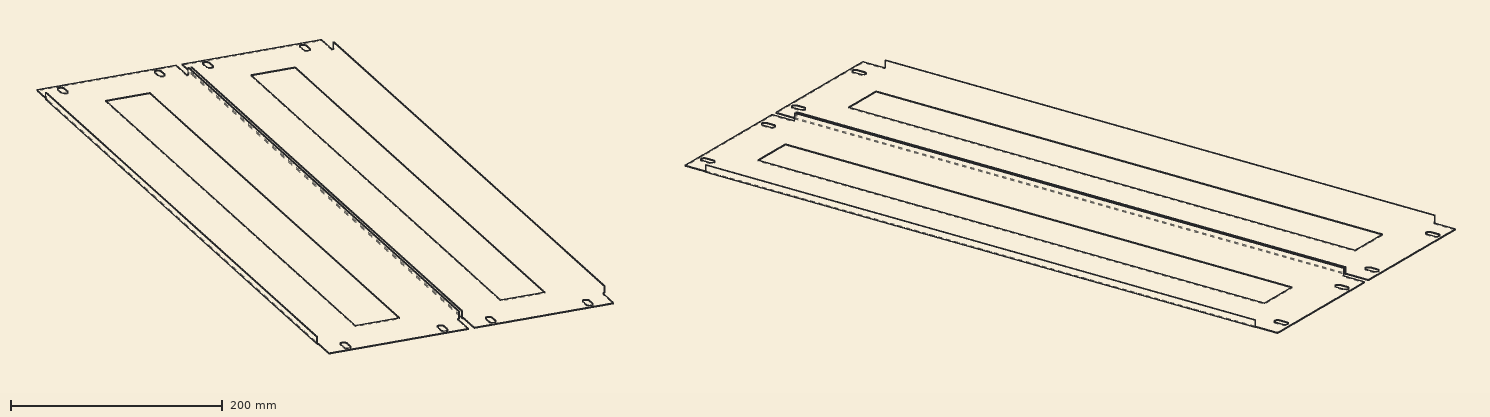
import cadquery as cq

panel_length = 682.0
overall_width = 298.0
panel_pitch = 150.0
panel_width = overall_width - panel_pitch
panel_count = 2

sheet_thickness = 1.0
bend_radius = 2.0
flange_height = 8.0
flange_length = 632.0
tab_width = panel_width - 2 * bend_radius

window_length = 583.0
window_width = 46.0

slot_length = 15.0
slot_width = 7.0
slot_edge_distance = 11.0
slot_pitch_x = panel_length - 2 * slot_edge_distance
slot_pitch_y = 100.0


def make_folded_channel():
    """Shallow channel along X: flat web with an upturned flange on each long side."""
    cavity_width = panel_width - 2 * sheet_thickness
    inner_radius = bend_radius - sheet_thickness
    outer = (
        cq.Workplane("XY")
        .box(flange_length, panel_width, flange_height, centered=(True, True, False))
        .edges("|X and <Z")
        .fillet(bend_radius)
    )
    cavity = (
        cq.Workplane("XY", origin=(0, 0, sheet_thickness))
        .box(flange_length, cavity_width, flange_height, centered=(True, True, False))
        .edges("|X and <Z")
        .fillet(inner_radius)
    )
    return outer.cut(cavity)


def make_flat_sheet():
    """Full-length flat sheet that ends where the flange bends begin."""
    return cq.Workplane("XY").box(
        panel_length, tab_width, sheet_thickness, centered=(True, True, False)
    )


def cut_window(panel):
    return panel.cut(
        cq.Workplane("XY").rect(window_length, window_width).extrude(sheet_thickness)
    )


def cut_mounting_slots(panel):
    slots = (
        cq.Workplane("XY")
        .rarray(slot_pitch_x, slot_pitch_y, 2, 2)
        .slot2D(slot_length, slot_width)
        .extrude(sheet_thickness)
    )
    return panel.cut(slots)


def make_panel(center_y):
    panel = make_folded_channel().union(make_flat_sheet())
    panel = cut_window(panel)
    panel = cut_mounting_slots(panel)
    return panel.translate((0, center_y, 0))


panels = []
for index in range(panel_count):
    center_y = (index - (panel_count - 1) / 2) * panel_pitch
    panels.append(make_panel(center_y).val())

result = cq.Compound.makeCompound(panels)